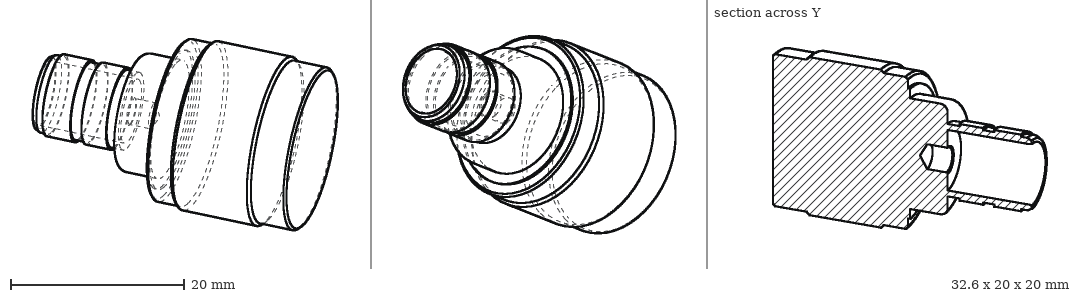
import cadquery as cq

length = 32.6
front_ring_start = 1.37
front_ring_end = 4.75
rear_ring_start = 6.13
rear_ring_end = 9.13
shoulder_start = 10.55
washer_start = 15.3
nut_start = 15.58
grip_start = 18.6
grip_end = 28.35

ferrule_radius = 4.6
ring_radius = 4.85
shoulder_radius = 7.0
washer_radius = 8.2
nut_radius = 9.62
grip_radius = 9.992

tip_chamfer_length = 0.55
tip_chamfer_depth = 0.3
shoulder_fillet = 1.0
nut_chamfer = 0.3
grip_chamfer = grip_radius - nut_radius

bore_radius = 3.78
bore_depth = shoulder_start
bore_chamfer_length = 0.33
bore_chamfer_depth = 0.1
pin_hole_radius = 1.53
pin_hole_depth = 2.6
pin_hole_chamfer = 0.13
drill_tip_depth = 0.88


def disc(start, end, radius):
    """Solid cylinder on the X axis between two stations."""
    return cq.Workplane("YZ", origin=(start, 0, 0)).circle(radius).extrude(end - start)


def make_ferrule():
    """Crimp ferrule with a tapered tip and two raised rings."""
    tip_radius = ferrule_radius - tip_chamfer_depth
    core = (
        cq.Workplane("XY")
        .moveTo(0, 0)
        .lineTo(0, tip_radius)
        .lineTo(tip_chamfer_length, ferrule_radius)
        .lineTo(shoulder_start, ferrule_radius)
        .lineTo(shoulder_start, 0)
        .close()
        .revolve(360, (0, 0, 0), (1, 0, 0))
    )
    front_ring = disc(front_ring_start, front_ring_end, ring_radius)
    rear_ring = disc(rear_ring_start, rear_ring_end, ring_radius)
    return core.union(front_ring).union(rear_ring)


def make_shoulder():
    """Rounded body between the ferrule and the nut, with its thin washer."""
    body = disc(shoulder_start, nut_start, shoulder_radius).faces("<X").edges().fillet(shoulder_fillet)
    return body.union(disc(washer_start, nut_start, washer_radius))


def make_nut():
    """Coupling nut with a wider grip band, all outer edges chamfered."""
    sleeve = disc(nut_start, length, nut_radius).edges().chamfer(nut_chamfer)
    grip = disc(grip_start, grip_end, grip_radius).edges().chamfer(grip_chamfer)
    return sleeve.union(grip)


def make_bore():
    """Ferrule bore, ending in a chamfered blind hole with a conical bottom."""
    pin_hole_end = bore_depth + pin_hole_depth
    return (
        cq.Workplane("XY")
        .moveTo(0, 0)
        .lineTo(0, bore_radius + bore_chamfer_depth)
        .lineTo(bore_chamfer_length, bore_radius)
        .lineTo(bore_depth, bore_radius)
        .lineTo(bore_depth, pin_hole_radius + pin_hole_chamfer)
        .lineTo(bore_depth + pin_hole_chamfer, pin_hole_radius)
        .lineTo(pin_hole_end, pin_hole_radius)
        .lineTo(pin_hole_end + drill_tip_depth, 0)
        .close()
        .revolve(360, (0, 0, 0), (1, 0, 0))
    )


result = make_ferrule().union(make_shoulder()).union(make_nut()).cut(make_bore())